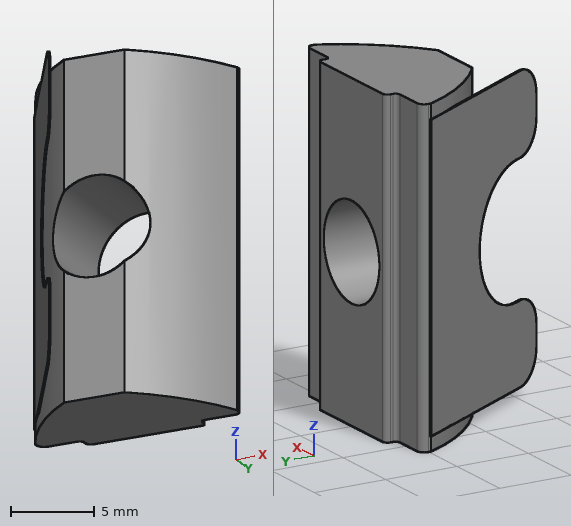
import cadquery as cq
import math

body_length = 22.0
body_width = 13.5
body_depth = 7.25
front_flat_width = 4.05
flank_radius = 15.0
flank_start_depth = 1.55
shoulder_radius = 0.5

tongue_width = 7.92
tongue_height = 0.84
tongue_edge_radius = 0.35
tongue_root_radius = 0.3

bore_diameter = 6.51

spring_angle = 60.0
spring_thickness = 0.1
spring_length = 13.0
spring_height = 20.02
spring_corner_radius = 2.0
notch_width = 9.0
notch_depth = 7.02
overall_width = 13.6
overall_depth = 12.75


def make_body():
    half_width = body_width / 2
    half_flat = front_flat_width / 2
    half_tongue = tongue_width / 2
    profile = (
        cq.Workplane("XY")
        .moveTo(-half_flat, -body_depth)
        .lineTo(half_flat, -body_depth)
        .radiusArc((half_width, -flank_start_depth), -flank_radius)
        .lineTo(half_width, -tongue_height)
        .lineTo(half_tongue, -tongue_height)
        .lineTo(half_tongue, 0)
        .lineTo(-half_tongue, 0)
        .lineTo(-half_tongue, -tongue_height)
        .lineTo(-half_width, -tongue_height)
        .lineTo(-half_width, -flank_start_depth)
        .radiusArc((-half_flat, -body_depth), -flank_radius)
        .close()
    )
    body = profile.extrude(body_length / 2, both=True)

    rounds = (
        (half_width, -tongue_height, shoulder_radius),
        (half_tongue, 0, tongue_edge_radius),
        (half_tongue, -tongue_height, tongue_root_radius),
    )
    for x, y, radius in rounds:
        for side in (-1, 1):
            edge = cq.selectors.NearestToPointSelector((side * x, y, 0))
            body = body.edges("|Z").edges(edge).fillet(radius)
    return body


def make_spring():
    angle = math.radians(spring_angle)
    start_x = body_width / 2 - overall_width
    tip_y = -overall_depth
    start_y = tip_y + spring_length * math.sin(angle)
    sheet_plane = cq.Plane(
        origin=(start_x, start_y, 0),
        xDir=(math.cos(angle), -math.sin(angle), 0),
        normal=(math.sin(angle), math.cos(angle), 0),
    )
    sheet = (
        cq.Workplane(sheet_plane)
        .center(spring_length / 2, 0)
        .rect(spring_length, spring_height)
        .extrude(spring_thickness)
    )

    notch_radius = notch_width / 2
    notch_centre = spring_length - notch_depth + notch_radius
    notch = (
        cq.Workplane(sheet_plane)
        .moveTo(spring_length, -notch_radius)
        .lineTo(notch_centre, -notch_radius)
        .threePointArc((notch_centre - notch_radius, 0), (notch_centre, notch_radius))
        .lineTo(spring_length, notch_radius)
        .close()
        .extrude(spring_thickness)
    )
    sheet = sheet.cut(notch)

    for corner_z in (-spring_height / 2, -notch_radius, notch_radius, spring_height / 2):
        corner = sheet_plane.toWorldCoords((spring_length, corner_z, spring_thickness / 2))
        edge = cq.selectors.NearestToPointSelector(corner.toTuple())
        sheet = sheet.edges(edge).fillet(spring_corner_radius)
    return sheet


bore = cq.Workplane("XZ").circle(bore_diameter / 2).extrude(body_depth)
result = make_body().cut(bore).union(make_spring())